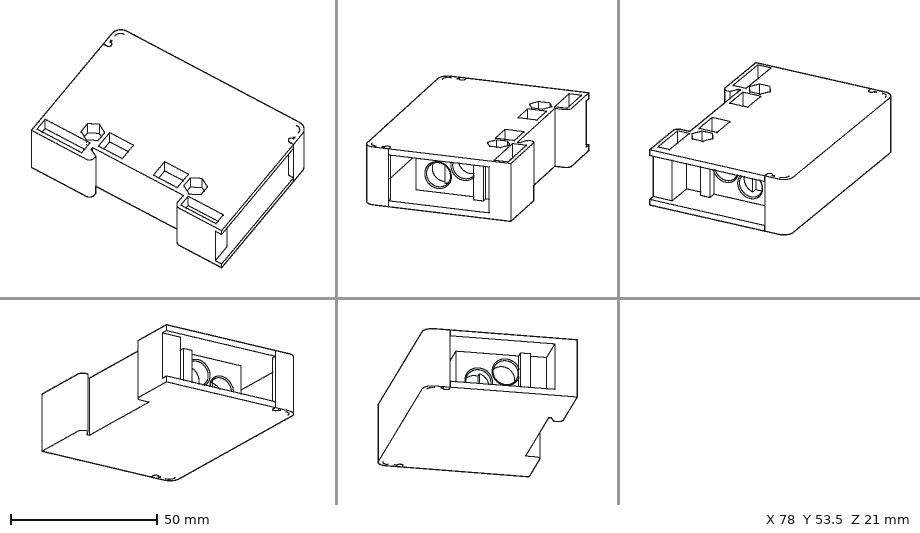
import cadquery as cq
import math

length = 78.0
depth = 53.5
height = 21.0

plate = 2.2
wall = 1.3
back_wall = 1.6
corner_radius = 3.6
inner_radius = corner_radius - wall
inner_y = depth - back_wall

hook_y = 44.45
hook_tip = 2.6
hook_height = 2.0
hook_radius = hook_height / 2
clearance = 0.06
notch_width = 0.3
notch_height = 0.8

rail_left = 21.5
rail_right = 58.7
rail_y = 5.4
foot_radius = 1.95
lip_x = 24.5
lip_low_y = 2.9
lip_high_y = 4.45

foot_pocket_y = 1.5
left_pocket_x = wall
left_pocket_length = 18.3
left_pocket_width = 5.1
right_pocket_x = 60.3
right_pocket_length = 14.4
right_pocket_width = 4.5
right_end_x = 75.4

pocket_x = 22.85
pocket_y = 7.0
pocket_length = 9.75
pocket_width = 6.95
pocket_depth = 5.2
hex_x = 17.95
hex_y = 11.0
hex_flats = 7.0
hex_turn = 30.0

block_x = 13.9
block_top_y = 39.5
shelf_x = 10.9
shelf_top_y = 17.55
base_x = 13.25
base_top_y = pocket_y + pocket_width

entry_radius = 4.4
entry_chamfer = 0.5
entry_depth = 6.25
entry_step_depth = 3.9
entry_step_y = 30.4
entry_offset_z = 2.0
back_entry_y = 31.5
front_entry_y = 22.0


def box(x0, x1, y0, y1, z0, z1):
    """Axis-aligned box between opposite corners."""
    return cq.Workplane("XY").box(x1 - x0, y1 - y0, z1 - z0, centered=False).translate((x0, y0, z0))


def mirrored(shape):
    """The shape together with its mirror image about the middle of the length."""
    return shape.union(shape.mirror("YZ", (length / 2, 0, 0)))


def make_outline():
    """Full-height body with rounded +Y corners and the rail recess."""
    return (
        cq.Workplane("XY")
        .moveTo(0, 0)
        .lineTo(lip_x - foot_radius, 0)
        .radiusArc((lip_x, foot_radius), -foot_radius)
        .lineTo(lip_x, lip_low_y)
        .lineTo(rail_left, lip_high_y)
        .lineTo(rail_left, rail_y)
        .lineTo(rail_right, rail_y)
        .lineTo(rail_right, foot_radius)
        .radiusArc((rail_right + foot_radius, 0), -foot_radius)
        .lineTo(length, 0)
        .lineTo(length, depth - corner_radius)
        .radiusArc((length - corner_radius, depth), -corner_radius)
        .lineTo(corner_radius, depth)
        .radiusArc((0, depth - corner_radius), -corner_radius)
        .close()
        .extrude(height)
    )


def make_cavity():
    """Space between the plates: inner room, end openings and the room around the block."""
    z0 = plate
    z1 = height - plate
    left_floor_y = foot_pocket_y + left_pocket_width + wall
    right_floor_y = foot_pocket_y + right_pocket_width + wall
    cavity = box(wall, length - wall, block_top_y, inner_y, z0, z1).edges("|Z and >Y").fillet(inner_radius)
    for floor_y, is_right in ((left_floor_y, False), (right_floor_y, True)):
        side = box(0, block_x, shelf_top_y, hook_y, z0, z1)
        side = side.union(box(0, shelf_x, base_top_y, shelf_top_y, z0, z1))
        side = side.union(box(0, base_x, floor_y, base_top_y, z0, z1))
        if is_right:
            side = side.mirror("YZ", (length / 2, 0, 0))
        cavity = cavity.union(side)
    return cavity.union(box(right_end_x, length, 0, right_floor_y, z0, z1))


def make_hook(growth=0.0):
    """Left hook with a half-round tip, grown outward by the given amount."""
    y0 = hook_y - growth
    y1 = hook_y + hook_height + growth
    tip_start = hook_tip - hook_radius
    return (
        cq.Workplane("XY")
        .moveTo(0, y0)
        .lineTo(tip_start, y0)
        .threePointArc((hook_tip + growth, (y0 + y1) / 2), (tip_start, y1))
        .lineTo(0, y1)
        .close()
        .extrude(height)
    )


def make_slits():
    """Slits around the hooks, notches above them and arcs inside the +Y corners."""
    slit = make_hook(clearance).cut(make_hook())
    slit = slit.cut(box(0, wall, hook_y, inner_y, 0, height))
    notch_y = hook_y + hook_height
    slit = slit.union(box(wall, wall + notch_width, notch_y, notch_y + notch_height, 0, height))
    center = (wall + inner_radius, inner_y - inner_radius)
    ring = (
        cq.Workplane("XY")
        .center(*center)
        .circle(inner_radius)
        .circle(inner_radius - clearance)
        .extrude(height)
    )
    quarter = box(wall, center[0], center[1], inner_y, 0, height)
    return mirrored(slit.union(ring.intersect(quarter)))


def make_entry(y, z):
    """Chamfered blind hole entering the left end of the block."""
    hole = cq.Workplane("YZ", (block_x, y, z)).circle(entry_radius).extrude(entry_depth)
    cone = cq.Solid.makeCone(
        entry_radius + entry_chamfer, entry_radius, entry_chamfer,
        cq.Vector(block_x, y, z), cq.Vector(1, 0, 0),
    )
    return hole.union(cq.Workplane(cone))


def make_entries():
    """Two staggered holes at each end; the one nearer +Y has a stepped floor."""
    back = make_entry(back_entry_y, height / 2 - entry_offset_z)
    step = box(block_x + entry_step_depth, block_x + entry_depth, shelf_top_y, entry_step_y, 0, height)
    front = make_entry(front_entry_y, height / 2 + entry_offset_z)
    return mirrored(back.cut(step).union(front))


def make_face_openings():
    """Blind pockets and hexagons of equal depth in the +Z face."""
    floor_z = height - pocket_depth
    left_end = left_pocket_x + left_pocket_length
    right_end = right_pocket_x + right_pocket_length
    openings = box(left_pocket_x, left_end, foot_pocket_y, foot_pocket_y + left_pocket_width, floor_z, height)
    openings = openings.union(
        box(right_pocket_x, right_end, foot_pocket_y, foot_pocket_y + right_pocket_width, floor_z, height)
    )
    pocket = box(pocket_x, pocket_x + pocket_length, pocket_y, pocket_y + pocket_width, floor_z, height)
    hexagon = (
        cq.Workplane("XY")
        .polygon(6, hex_flats / math.cos(math.pi / 6))
        .extrude(pocket_depth)
        .rotate((0, 0, 0), (0, 0, 1), hex_turn)
        .translate((hex_x, hex_y, floor_z))
    )
    return openings.union(mirrored(pocket.union(hexagon)))


body = make_outline().cut(make_cavity())
body = body.union(mirrored(make_hook()))
body = body.cut(make_slits())
body = body.cut(make_entries())
result = body.cut(make_face_openings())